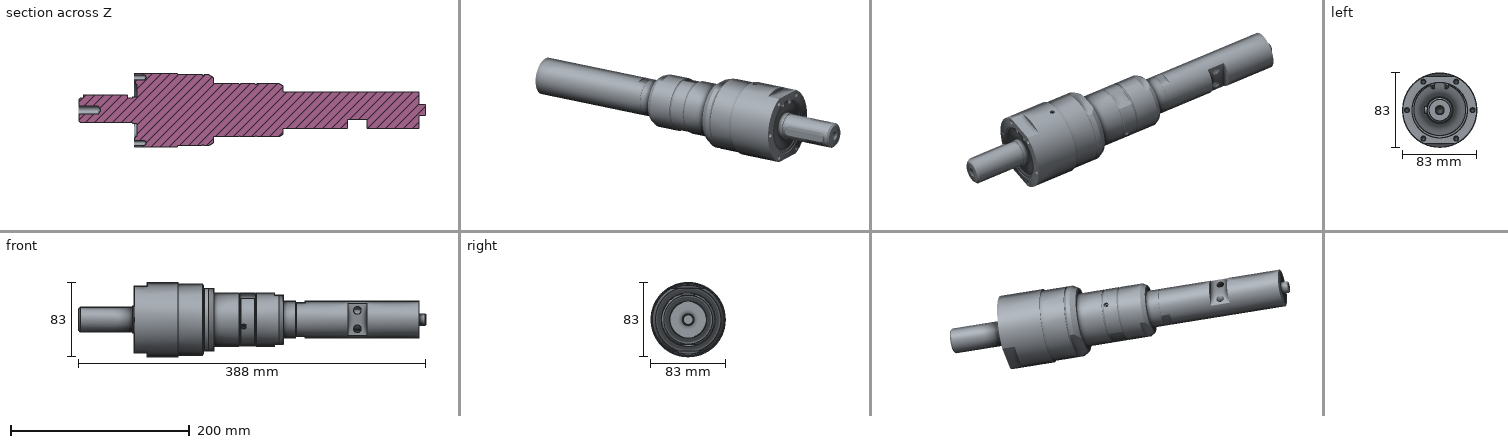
import cadquery as cq
import math


r_shaft = 14.0
shaft_chamfer = 2.0
r_collar = 15.0
x_collar = 60.0
key_width = 8.0
key_top = 17.0
key_bottom = 10.0
x_key_start, x_key_end = 5.0, 55.0
centre_hole_d = 8.5
centre_hole_mouth_d = 10.0
centre_hole_depth = 22.0

r_body = 41.5
r_body_rear = 40.0
x_body = 62.0
x_body_step = 111.0
x_body_end = 138.5
body_flat_width = 75.0
body_flat_length = 14.5
x_oil_hole = 104.8

recess_d = 62.0
recess_depth = 3.0
ring_thickness = 1.75
ring_inner_d = 58.0
ring_offset = 0.6
ring_gap = 11.6
lug_x, lug_z = 7.2, 26.6
lug_d = 5.4
lug_hole_d = 2.5
screw_circle_r = 36.7
screw_count = 6
screw_hole_d = 4.92
screw_hole_mouth_d = 5.5
screw_hole_depth = 12.0
drill_tip_angle = 118.0

radial_hole_d = 5.5
radial_hole_depth = 4.0
radial_hole_inner_d = 2.5
radial_hole_inner_depth = 10.0

r_nut = 40.0
x_nut = 139.5
r_nut_neck = 38.5
x_nut_bevel = 145.2
x_nut_end = 151.2
nut_edge_chamfer = 1.0
nut_flat_width = 70.0

r_sleeve = 30.0
groove_depth = 1.0
x_groove_1 = 179.4
x_band = 180.6
x_band_end = 197.6
x_groove_2_end = 198.8
band_chamfer = 0.8
band_tilt = 15.0
sleeve_flat_width = 55.0
x_band_hole = 184.5

x_rear_nut = 219.0
x_rear_nut_bevel = 224.0
x_rear_nut_end = 228.7
nut_bevel_angle = 30.0

r_barrel = 20.75
x_barrel_flat = 242.5
x_barrel_flat_end = 253.0
barrel_flat_width = 38.0
barrel_groove_width = 0.8
barrel_groove_depth = 0.5
x_barrel_end = 380.5
x_slot, x_slot_end = 301.0, 322.0
slot_floor = 10.5
slot_hole_d = 8.5
slot_hole_pitch = 20.6
barrel_core_d = 24.0

r_spigot = 6.5
spigot_chamfer = 1.0
x_total = 388.0


def revolve_profile(points):
    """Solid of revolution about X from (x, radius) points that start and end on the axis."""
    return cq.Workplane("XY").polyline(points).close().revolve(360, (0, 0, 0), (1, 0, 0))


def cylinder(x, length, radius):
    return cq.Workplane("YZ", origin=(x, 0, 0)).circle(radius).extrude(length)


def drill_tip_length(diameter):
    return diameter / 2 / math.tan(math.radians(drill_tip_angle / 2))


def drilled_hole(origin, direction, diameter, depth):
    """Blind hole cutter with a conical bottom."""
    plane = cq.Plane(origin=origin, normal=direction)
    radius = diameter / 2
    tip = depth + drill_tip_length(diameter)
    outline = cq.Workplane("XY").polyline([(0, 0), (radius, 0), (radius, depth), (0, tip)]).close()
    cutter = outline.revolve(360, (0, 0, 0), (0, 1, 0)).rotate((0, 0, 0), (1, 0, 0), 90)
    return cq.Workplane(cutter.val().moved(cq.Location(plane)))


def countersunk_hole(origin, direction, diameter, mouth_diameter, depth):
    """Drilled hole cutter with a 45 degree countersunk mouth."""
    mouth_depth = (mouth_diameter - diameter) / 2
    start, along = cq.Vector(origin), cq.Vector(direction)
    mouth = cq.Solid.makeCone(mouth_diameter / 2, diameter / 2, mouth_depth, start, along)
    return drilled_hole(origin, direction, diameter, depth).union(cq.Workplane(mouth))


def radial_hole(origin, direction):
    """Stepped hole cutter: a wide entry and a narrower drilling below it."""
    start, along = cq.Vector(origin), cq.Vector(direction)
    entry = cq.Solid.makeCylinder(radial_hole_d / 2, radial_hole_depth, start, along)
    drilling = drilled_hole(origin, direction, radial_hole_inner_d, radial_hole_inner_depth)
    return drilling.union(cq.Workplane(entry))


def flats_cutter(x, length, width, radius):
    """Material outside two parallel flats facing +Z and -Z."""
    outer = cylinder(x, length, radius + 1)
    core = cq.Workplane("XY").box(length, 3 * radius, width).translate((x + length / 2, 0, 0))
    return outer.cut(core)


def turned_body():
    bevel_slope = math.tan(math.radians(nut_bevel_angle))
    r_nut_end = r_nut - (x_nut_end - x_nut_bevel) * bevel_slope
    r_rear_nut_end = r_sleeve - (x_rear_nut_end - x_rear_nut_bevel) * bevel_slope
    r_groove = r_sleeve - groove_depth
    r_barrel_groove = r_barrel - barrel_groove_depth
    return revolve_profile([
        (0, 0),
        (0, r_shaft - shaft_chamfer),
        (shaft_chamfer, r_shaft),
        (x_collar, r_shaft),
        (x_collar, r_collar),
        (x_body, r_collar),
        (x_body, r_body),
        (x_body_step, r_body),
        (x_body_step, r_body_rear),
        (x_body_end, r_body_rear),
        (x_body_end, r_nut_neck),
        (x_nut, r_nut_neck),
        (x_nut, r_nut - nut_edge_chamfer),
        (x_nut + nut_edge_chamfer, r_nut),
        (x_nut_bevel, r_nut),
        (x_nut_end, r_nut_end),
        (x_nut_end, r_sleeve),
        (x_groove_1, r_sleeve),
        (x_groove_1, r_groove),
        (x_band, r_groove),
        (x_band, r_sleeve - band_chamfer),
        (x_band + band_chamfer, r_sleeve),
        (x_band_end - band_chamfer, r_sleeve),
        (x_band_end, r_sleeve - band_chamfer),
        (x_band_end, r_groove),
        (x_groove_2_end, r_groove),
        (x_groove_2_end, r_sleeve),
        (x_rear_nut_bevel, r_sleeve),
        (x_rear_nut_end, r_rear_nut_end),
        (x_rear_nut_end, r_barrel),
        (x_barrel_flat, r_barrel),
        (x_barrel_flat, r_barrel_groove),
        (x_barrel_flat + barrel_groove_width, r_barrel_groove),
        (x_barrel_flat + barrel_groove_width, r_barrel),
        (x_barrel_end, r_barrel),
        (x_barrel_end, r_spigot),
        (x_total - spigot_chamfer, r_spigot),
        (x_total, r_spigot - spigot_chamfer),
        (x_total, 0),
    ])


def shaft_key():
    length = x_key_end - x_key_start
    middle = (x_key_start + x_key_end) / 2
    plane = cq.Workplane("XZ", origin=(middle, key_top, 0))
    return plane.slot2D(length, key_width).extrude(key_top - key_bottom)


def front_recess():
    return cylinder(x_body, recess_depth, recess_d / 2).cut(cylinder(x_body, recess_depth, r_collar))


def retaining_ring():
    """Open ring at the bottom of the recess with two drilled lugs at the gap."""
    x_ring = x_body + recess_depth - ring_thickness
    opening = cylinder(x_ring, ring_thickness, ring_inner_d / 2).translate((0, 0, ring_offset))
    ring = cylinder(x_ring, ring_thickness, recess_d / 2)
    lug_height = recess_d / 2 - lug_z
    for side in (-1, 1):
        place = cq.Workplane("YZ", origin=(x_ring, side * lug_x, lug_z))
        lug = place.circle(lug_d / 2).extrude(ring_thickness)
        neck = place.center(0, lug_height / 2).rect(lug_d, lug_height).extrude(ring_thickness)
        opening = opening.cut(lug).cut(neck)
        ring = ring.cut(place.circle(lug_hole_d / 2).extrude(ring_thickness))
    gap = cq.Workplane("YZ", origin=(x_ring, 0, recess_d / 2))
    gap = gap.rect(ring_gap, recess_d / 2).extrude(ring_thickness)
    return ring.cut(opening).cut(gap)


def screw_holes():
    holes = []
    for i in range(screw_count):
        angle = math.radians(i * 360 / screw_count)
        centre = (x_body, screw_circle_r * math.cos(angle), screw_circle_r * math.sin(angle))
        holes.append(
            countersunk_hole(centre, (1, 0, 0), screw_hole_d, screw_hole_mouth_d, screw_hole_depth)
        )
    return holes


def band_features():
    """Wrench flats of the band and the hole a quarter turn from them, tilted together."""
    flats = flats_cutter(x_band, x_band_end - x_band, sleeve_flat_width, r_sleeve)
    hole = radial_hole((x_band_hole, -r_sleeve, 0), (0, 1, 0))
    return flats.union(hole).rotate((0, 0, 0), (1, 0, 0), band_tilt)


def barrel_slot():
    """Slot across the -Y side of the barrel with two holes from its floor down past the core."""
    length = x_slot_end - x_slot
    middle = (x_slot + x_slot_end) / 2
    depth = r_barrel - slot_floor
    core = cylinder(x_slot, length, barrel_core_d / 2)
    slot = cq.Workplane("XY").box(length, depth, 2 * r_barrel)
    slot = slot.translate((middle, -slot_floor - depth / 2, 0))
    for side in (-1, 1):
        centre = (middle, -slot_floor, side * slot_hole_pitch / 2)
        plane = cq.Plane(origin=centre, normal=(0, 1, 0))
        hole = cq.Workplane(plane).circle(slot_hole_d / 2).extrude(slot_floor)
        slot = slot.union(hole.cut(core))
    return slot


result = turned_body().union(shaft_key())

result = result.cut(flats_cutter(x_body, body_flat_length, body_flat_width, r_body))
result = result.cut(flats_cutter(x_nut, x_nut_end - x_nut, nut_flat_width, r_nut))
result = result.cut(flats_cutter(x_rear_nut, x_rear_nut_end - x_rear_nut, sleeve_flat_width, r_sleeve))
barrel_flat_length = x_barrel_flat_end - x_barrel_flat
result = result.cut(flats_cutter(x_barrel_flat, barrel_flat_length, barrel_flat_width, r_barrel))

result = result.cut(front_recess()).union(retaining_ring())
for screw_hole in screw_holes():
    result = result.cut(screw_hole)
result = result.cut(
    countersunk_hole((0, 0, 0), (1, 0, 0), centre_hole_d, centre_hole_mouth_d, centre_hole_depth)
)

result = result.cut(radial_hole((x_oil_hole, 0, r_body), (0, 0, -1)))
result = result.cut(band_features())
result = result.cut(barrel_slot())